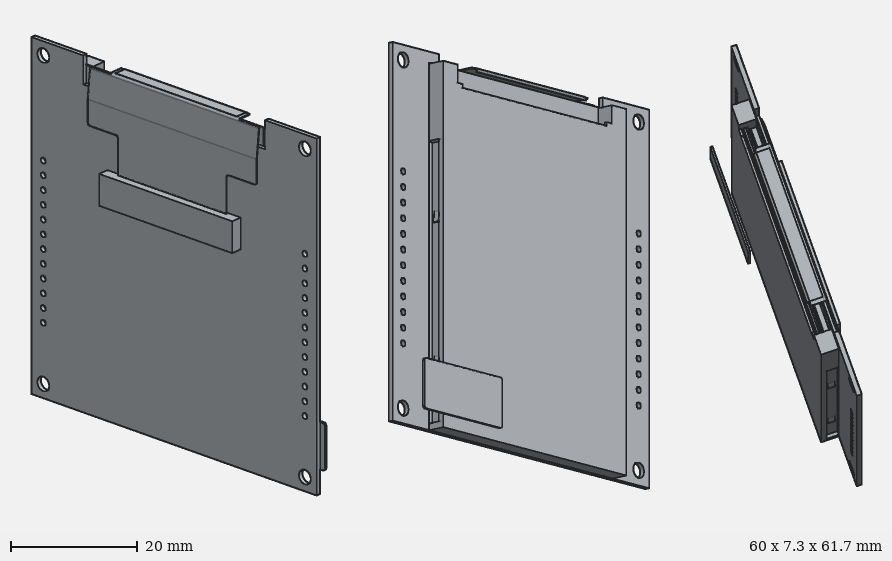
import cadquery as cq


board_width = 60.0
board_bottom = 0.2
board_top = 61.7
board_thickness = 0.85
board_notch_width = 38.25
board_notch_depth = 5.0
hole_inset = 2.45
mount_hole_diameter = 2.45
pin_hole_diameter = 1.0
pin_count = 12
pin_span = 27.95
pin_row_center = 27.15

connector_width = 28.0
connector_bottom = 37.95
connector_height = 5.5
connector_depth = 2.0
connector_top = connector_bottom + connector_height

sheet_thickness = 0.1
sheet_height = 59.9

housing_width = 42.8
housing_bottom = 0.2
housing_top = 59.7
housing_back = 2.95
side_recess_bottom = 1.3
side_recess_top = 47.2
side_recess_back = 2.05
side_recess_depth = 0.6
side_recess_slope = 0.25
recess_floor_x = housing_width / 2 - side_recess_depth
latch_bottoms = (10.35, 33.95)
latch_height = 1.85
latch_front = 0.5
latch_width = 1.2
latch_rise = 0.4

cavity_width = 36.05
cavity_bottom = 2.45
cavity_back = 2.5
back_wall_top = 56.75
back_wall_cut_width = 33.7
back_wall_cut_depth = 0.6
display_layers = (
    (0.9, 54.3),
    (1.2, 54.6),
    (1.4, 54.9),
    (1.8, 56.15),
    (2.15, 56.45),
    (cavity_back, 54.3),
)

ribbon_thickness = 0.2
ribbon_wide = 35.55
ribbon_top_width = 27.0
ribbon_tail_width = 22.8
ribbon_top = 60.3
ribbon_rear = 2.3
ribbon_front = -1.35
ribbon_lip_bottom = 59.6
ribbon_slope_bottom = 54.7
ribbon_shoulder = 50.2
ribbon_corner_radius = 0.5
ribbon_bend_radius = 0.45
ribbon_slope_start = -0.8
top_front = ribbon_slope_start + ribbon_bend_radius
top_rear = ribbon_rear - ribbon_bend_radius
stiffener_width = 25.55
stiffener_thickness = 0.05

plate_width = 18.2
plate_height = 8.2
plate_thickness = 0.4
plate_left = 9.2
plate_bottom = 2.0
plate_gap = 1.1
plate_corner_radius = 0.5


def block(width, front, back, bottom, top, center_x=0.0):
    """Box centred on center_x, from front to back along Y and bottom to top along Z."""
    return (
        cq.Workplane("XY")
        .box(width, back - front, top - bottom, centered=(True, False, False))
        .translate((center_x, front, bottom))
    )


def y_cylinders(points, diameter, front, back):
    """Round cutters along Y at the given (x, z) points."""
    return (
        cq.Workplane("XZ", origin=(0, back, 0))
        .pushPoints(points)
        .circle(diameter / 2)
        .extrude(back - front)
    )


def make_board():
    board = block(board_width, -board_thickness, 0, board_bottom, board_top)
    board = board.cut(
        block(board_notch_width, -board_thickness, 0, board_top - board_notch_depth, board_top)
    )
    board = board.cut(block(housing_width, -sheet_thickness, 0, 0, sheet_height))
    hole_x = board_width / 2 - hole_inset
    mount_points = [
        (x, z)
        for x in (-hole_x, hole_x)
        for z in (board_bottom + hole_inset, board_top - hole_inset)
    ]
    pin_pitch = pin_span / (pin_count - 1)
    pin_points = [
        (x, pin_row_center - pin_span / 2 + i * pin_pitch)
        for x in (-hole_x, hole_x)
        for i in range(pin_count)
    ]
    board = board.cut(y_cylinders(mount_points, mount_hole_diameter, -board_thickness, 0))
    return board.cut(y_cylinders(pin_points, pin_hole_diameter, -board_thickness, 0))


def bent_strip():
    """Full-width ribbon: rear lip, flat top, front bend, slope and flat tail."""
    inner_radius = ribbon_bend_radius - ribbon_thickness
    bend_z = ribbon_top - ribbon_bend_radius
    under_top = ribbon_top - ribbon_thickness
    lip_front = ribbon_rear - ribbon_thickness
    slope_back = ribbon_slope_start + ribbon_thickness
    tail_back = ribbon_front + ribbon_thickness
    return (
        cq.Workplane("YZ", origin=(-ribbon_wide / 2, 0, 0))
        .moveTo(ribbon_rear, ribbon_lip_bottom)
        .lineTo(ribbon_rear, bend_z)
        .radiusArc((top_rear, ribbon_top), -ribbon_bend_radius)
        .lineTo(top_front, ribbon_top)
        .radiusArc((ribbon_slope_start, bend_z), -ribbon_bend_radius)
        .lineTo(ribbon_front, ribbon_slope_bottom)
        .lineTo(ribbon_front, connector_top)
        .lineTo(tail_back, connector_top)
        .lineTo(tail_back, ribbon_slope_bottom)
        .lineTo(slope_back, bend_z)
        .radiusArc((top_front, under_top), inner_radius)
        .lineTo(top_rear, under_top)
        .radiusArc((lip_front, bend_z), inner_radius)
        .lineTo(lip_front, ribbon_lip_bottom)
        .close()
        .extrude(ribbon_wide)
    )


def side_trims(kept_width, front, back, bottom, top):
    """Pair of cutters that narrow the ribbon to kept_width in the given Y and Z range."""
    trim = (ribbon_wide - kept_width) / 2
    offset = (ribbon_wide - trim) / 2
    left = block(trim, front, back, bottom, top, -offset)
    return left.union(block(trim, front, back, bottom, top, offset))


def make_ribbon():
    bend_middle = (ribbon_slope_start + top_front) / 2
    ribbon = bent_strip()
    ribbon = ribbon.cut(
        side_trims(ribbon_top_width, bend_middle, ribbon_rear, ribbon_lip_bottom, ribbon_top)
    )
    ribbon = ribbon.cut(
        side_trims(stiffener_width, top_rear, ribbon_rear, ribbon_lip_bottom, ribbon_top)
    )
    ribbon = ribbon.cut(
        side_trims(ribbon_tail_width, ribbon_front, 0, connector_top, ribbon_shoulder)
    )
    shoulder_zone = cq.selectors.BoxSelector(
        (-ribbon_wide, ribbon_front, (connector_top + ribbon_shoulder) / 2),
        (ribbon_wide, 0, (ribbon_shoulder + ribbon_slope_bottom) / 2),
    )
    ribbon = ribbon.edges("|Y").edges(shoulder_zone).fillet(ribbon_corner_radius)
    return ribbon.union(
        block(stiffener_width, top_front, top_rear, ribbon_top, ribbon_top + stiffener_thickness)
    )


def side_recess(sign):
    """Cutter for the recess in one side wall, with a sloping upper end."""
    side_x = housing_width / 2
    return (
        cq.Workplane("XZ", origin=(0, side_recess_back, 0))
        .moveTo(sign * side_x, side_recess_bottom)
        .lineTo(sign * side_x, side_recess_top)
        .lineTo(sign * recess_floor_x, side_recess_top - side_recess_slope)
        .lineTo(sign * recess_floor_x, side_recess_bottom)
        .close()
        .extrude(side_recess_back)
    )


def latch(sign, bottom):
    """Wedge on a recess floor that sticks out most at its lower end."""
    return (
        cq.Workplane("XZ", origin=(0, latch_front + latch_width, 0))
        .moveTo(sign * recess_floor_x, bottom)
        .lineTo(sign * (recess_floor_x + latch_rise), bottom)
        .lineTo(sign * recess_floor_x, bottom + latch_height)
        .close()
        .extrude(latch_width)
    )


def make_housing():
    housing = block(housing_width, 0, housing_back, housing_bottom, housing_top)
    housing = housing.cut(block(cavity_width, 0, cavity_back, cavity_bottom, housing_top))
    housing = housing.cut(
        block(cavity_width, cavity_back, housing_back, back_wall_top, housing_top)
    )
    housing = housing.cut(
        block(back_wall_cut_width, cavity_back, housing_back,
              back_wall_top - back_wall_cut_depth, back_wall_top)
    )
    for sign in (-1, 1):
        housing = housing.cut(side_recess(sign))
        for bottom in latch_bottoms:
            housing = housing.union(latch(sign, bottom))
    return housing


def make_display():
    display = cq.Workplane("XY")
    front = 0
    for back, top in display_layers:
        display = display.union(block(cavity_width, front, back, cavity_bottom, top))
        front = back
    return display


def make_plate():
    front = housing_back + plate_gap
    plate = block(plate_width, front, front + plate_thickness, plate_bottom,
                  plate_bottom + plate_height, plate_left + plate_width / 2)
    return plate.edges("|Y").fillet(plate_corner_radius)


board = make_board()
connector = block(connector_width, -board_thickness - connector_depth, -board_thickness,
                  connector_bottom, connector_top)
sheet = block(housing_width, -sheet_thickness, 0, 0, sheet_height)
housing = make_housing()
display = make_display()
ribbon = make_ribbon()
plate = make_plate()

bodies = [board, connector, sheet, housing, display, ribbon, plate]
result = cq.Compound.makeCompound([body.val() for body in bodies])